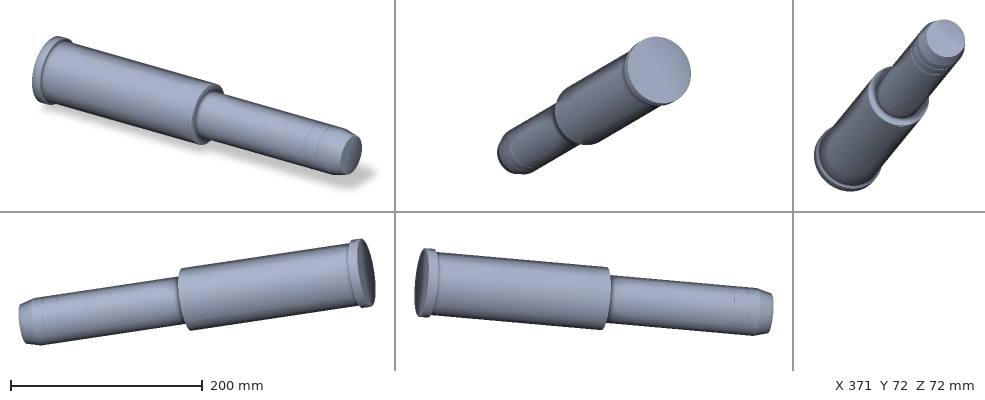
import cadquery as cq
import math

total_length = 371.0
head_diameter = 72.0
head_length = 10.0
body_diameter = 66.0
body_end = 194.8
shank_diameter = 50.0
nose_length = 15.2
nose_angle = 15.0

groove_width = 1.0
groove_depth = 0.5
shank_groove_starts = (327.5, 343.0)

notch_start = 190.7
notch_width = 0.5
notch_chord = 13.5
notch_count = 4

head_chamfer = 0.5


def cylinder(start, end, diameter):
    """Solid cylinder along X between two stations."""
    return cq.Workplane("YZ", origin=(start, 0, 0)).circle(diameter / 2).extrude(end - start)


def ring_groove(start, diameter):
    """Ring that cuts a shallow groove into a cylinder of the given diameter."""
    floor_diameter = diameter - 2 * groove_depth
    return cylinder(start, start + groove_width, head_diameter).cut(
        cylinder(start, start + groove_width, floor_diameter)
    )


def turned_blank():
    """Head, body, shank and tapered nose as one revolved outline."""
    nose_start = total_length - nose_length
    tip_radius = shank_diameter / 2 - nose_length * math.tan(math.radians(nose_angle))
    outline = [
        (0, 0),
        (0, head_diameter / 2 - head_chamfer),
        (head_chamfer, head_diameter / 2),
        (head_length, head_diameter / 2),
        (head_length, body_diameter / 2),
        (body_end, body_diameter / 2),
        (body_end, shank_diameter / 2),
        (nose_start, shank_diameter / 2),
        (total_length, tip_radius),
        (total_length, 0),
    ]
    return cq.Workplane("XY").polyline(outline).close().revolve(360, (0, 0, 0), (1, 0, 0))


def shoulder_notch(angle):
    """Thin block whose flat floor crosses the body along the chosen chord."""
    floor_height = math.sqrt((body_diameter / 2) ** 2 - (notch_chord / 2) ** 2)
    block = cq.Workplane("XY").box(
        notch_width, head_diameter, head_diameter, centered=(False, True, False)
    )
    block = block.translate((notch_start, 0, floor_height))
    return block.rotate((0, 0, 0), (1, 0, 0), angle)


result = turned_blank().cut(ring_groove(head_length, body_diameter))
for groove_start in shank_groove_starts:
    result = result.cut(ring_groove(groove_start, shank_diameter))
for index in range(notch_count):
    result = result.cut(shoulder_notch(index * 360 / notch_count))